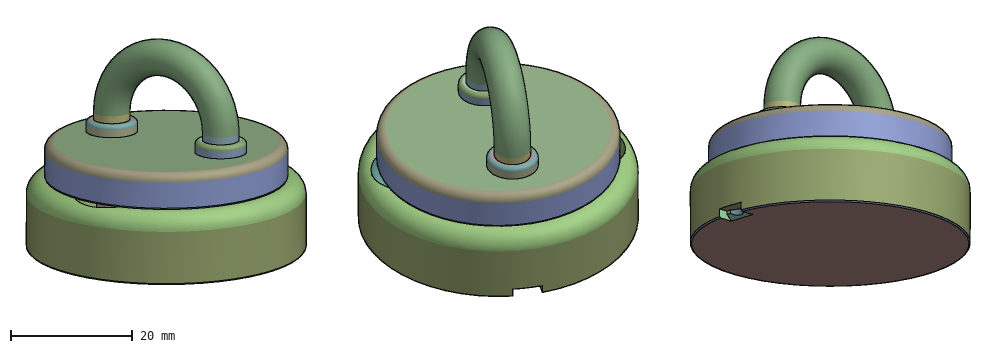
import cadquery as cq

base_diameter = 45.95
base_height = 12.0
base_fillet = 3.0
base_chamfer = 0.25

recess_offset = 14.53
recess_radius = 6.65

notch_width = 5.0
notch_height = 1.5
notch_length = 1.85
notch_round_diameter = 6.0
notch_round_depth = 0.55
notch_slope_height = 0.95

lid_diameter = 40.0
lid_height = 6.0
lid_fillet = 1.45
lid_chamfer = 0.25
lid_chamfer_inset = 0.1

pin_diameter = 6.0
pin_length = 4.6

handle_diameter = 6.0
collar_diameter = 8.5
collar_height = 2.0
collar_fillet = 0.75
overall_height = 35.2
handle_bend_radius = 11.0

lid_top = base_height + lid_height
arch_height = overall_height - handle_bend_radius - handle_diameter / 2


def make_recess(side):
    """Spherical cutter centred level with the top of the base, beneath the lid's rim."""
    return cq.Workplane("XY", origin=(0, side * recess_offset, base_height)).sphere(recess_radius)


def make_notch_block(length):
    """Plain block reaching in from the -X side of the base."""
    return (
        cq.Workplane("XY", origin=(-base_diameter / 2, 0, 0))
        .box(length, notch_width, notch_height, centered=(False, True, False))
    )


def make_notch():
    """Cutter for the rim notch: a slot, a shallow round end and a sloped lead-in."""
    end_x = -base_diameter / 2 + notch_length
    slot = make_notch_block(notch_length)
    round_x = end_x + notch_round_depth - notch_round_diameter / 2
    round_end = (
        cq.Workplane("XY", origin=(round_x, 0, 0))
        .circle(notch_round_diameter / 2)
        .extrude(notch_height)
        .intersect(make_notch_block(notch_length + notch_round_depth))
    )
    slope = (
        cq.Workplane("XZ")
        .moveTo(end_x, 0)
        .lineTo(end_x + notch_slope_height, 0)
        .lineTo(end_x, notch_slope_height)
        .close()
        .extrude(notch_width / 2, both=True)
    )
    return slot.union(round_end).union(slope)


def make_base():
    base = cq.Workplane("XY").circle(base_diameter / 2).extrude(base_height)
    base = base.faces(">Z").edges().fillet(base_fillet)
    base = base.faces("<Z").edges().chamfer(base_chamfer)
    for side in (-1, 1):
        base = base.cut(make_recess(side))
    return base.cut(make_notch())


def make_collar(x):
    collar = cq.Workplane("XY", origin=(x, 0, lid_top)).circle(collar_diameter / 2).extrude(collar_height)
    return collar.faces(">Z").edges().fillet(collar_fillet)


def make_handle():
    """Round bar bent into a half circle, with two straight legs down to the lid."""
    path = (
        cq.Workplane("XZ")
        .moveTo(-handle_bend_radius, lid_top)
        .lineTo(-handle_bend_radius, arch_height)
        .threePointArc((0, arch_height + handle_bend_radius), (handle_bend_radius, arch_height))
        .lineTo(handle_bend_radius, lid_top)
    )
    return (
        cq.Workplane("XY", origin=(-handle_bend_radius, 0, lid_top))
        .circle(handle_diameter / 2)
        .sweep(path)
    )


def make_pin(side):
    pin_plane = cq.Workplane("XY", origin=(0, side * recess_offset, base_height - pin_length))
    return pin_plane.circle(pin_diameter / 2).extrude(pin_length)


def make_lid():
    """Lid disc with its collars, handle and pins, all one piece."""
    lid = cq.Workplane("XY", origin=(0, 0, base_height)).circle(lid_diameter / 2).extrude(lid_height)
    lid = lid.faces(">Z").edges().fillet(lid_fillet)
    lid = lid.faces("<Z").edges().chamfer(lid_chamfer, lid_chamfer_inset)
    for x in (-handle_bend_radius, handle_bend_radius):
        lid = lid.union(make_collar(x))
    for side in (-1, 1):
        lid = lid.union(make_pin(side))
    return lid.union(make_handle())


base = make_base()
lid = make_lid()

result = cq.Compound.makeCompound([base.val(), lid.val()])